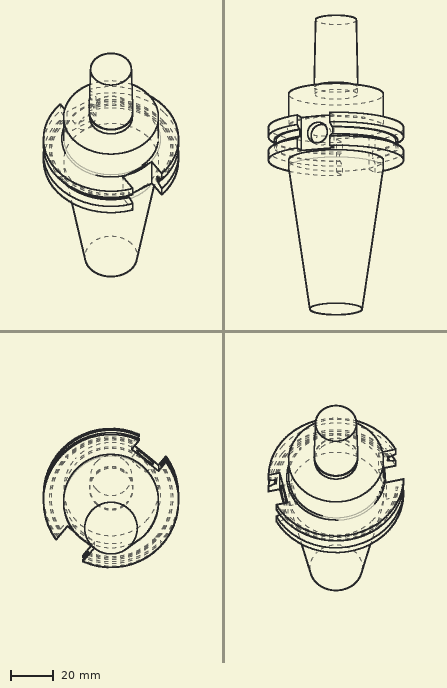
import cadquery as cq
import math

total_height = 139.1

gauge_radius = 22.3
gauge_height = 68.1
taper_ratio = 7 / 24
small_end_radius = gauge_radius - gauge_height * taper_ratio / 2

flange_radius = 31.7
flange_bottom = 71.5
flange_top = 87.3
flange_middle = (flange_bottom + flange_top) / 2
groove_radius = 28.1
groove_channel_radius = 28.9
groove_mouth_width = 6.7
groove_lip_angle = 30.0

collar_radius = 22.3
collar_top = 103.3
collar_root_fillet = 0.8

neck_radius = 10.0
neck_top = 106.7
arbor_bottom_radius = 10.3
arbor_top_radius = 9.6

slot_width = 16.3
left_slot_floor = 25.2
right_slot_floor = 22.3

hole_diameter = 9.9
hole_depth = 4.9


def revolved_body():
    mouth_half = groove_mouth_width / 2
    lip_height = (flange_radius - groove_channel_radius) * math.tan(math.radians(groove_lip_angle))
    channel_half = mouth_half - lip_height
    below_fillet = [
        (0, 0),
        (small_end_radius, 0),
        (gauge_radius, gauge_height),
        (gauge_radius, flange_bottom),
        (flange_radius, flange_bottom),
        (flange_radius, flange_middle - mouth_half),
        (groove_channel_radius, flange_middle - channel_half),
        (groove_radius, flange_middle - channel_half),
        (groove_radius, flange_middle + channel_half),
        (groove_channel_radius, flange_middle + channel_half),
        (flange_radius, flange_middle + mouth_half),
        (flange_radius, flange_top),
        (collar_radius + collar_root_fillet, flange_top),
    ]
    above_fillet = [
        (collar_radius, flange_top + collar_root_fillet),
        (collar_radius, collar_top),
        (neck_radius, collar_top),
        (neck_radius, neck_top),
        (arbor_bottom_radius, neck_top),
        (arbor_top_radius, total_height),
        (0, total_height),
    ]
    fillet_sag = collar_root_fillet * (1 - math.sqrt(0.5))
    fillet_middle = (collar_radius + fillet_sag, flange_top + fillet_sag)
    return (
        cq.Workplane("XZ")
        .polyline(below_fillet)
        .threePointArc(fillet_middle, above_fillet[0])
        .polyline(above_fillet[1:], includeCurrent=True)
        .close()
        .revolve(360, (0, 0, 0), (0, 1, 0))
    )


def drive_slot(side, floor_distance):
    """Cutter for a slot through the flange; side is -1 for -X and 1 for +X."""
    slot_length = flange_radius
    return cq.Workplane("XY").box(
        slot_length, slot_width, flange_top - flange_bottom
    ).translate((side * (floor_distance + slot_length / 2), 0, flange_middle))


def slot_hole():
    return (
        cq.Workplane("YZ", origin=(-left_slot_floor, 0, flange_middle))
        .circle(hole_diameter / 2)
        .extrude(hole_depth)
    )


result = (
    revolved_body()
    .cut(drive_slot(-1, left_slot_floor))
    .cut(drive_slot(1, right_slot_floor))
    .cut(slot_hole())
)